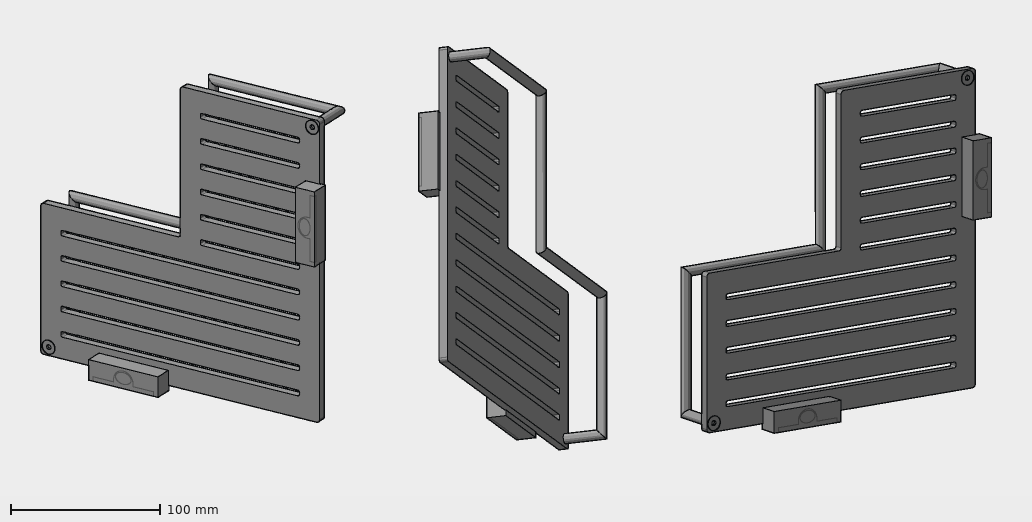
import cadquery as cq

overall_size = 224.5
plate_size = 220.5
plate_thickness = 6.0
leg_width = plate_size / 2
outer_corner_radius = 2.5
inner_corner_radius = 1.8

slot_rows = 11
slot_height = 4.0
slot_margin = 16.0
slot_pitch = (plate_size - 2 * slot_margin - slot_height) / (slot_rows - 1)
slot_corner_radius = 1.3

rail_diameter = 7.0
rail_inset = 6.0
rail_back = 36.0
rail_axis_y = rail_back - rail_diameter / 2

head_diameter = 10.0
head_recess = 0.5
socket_diameter = 3.4
socket_depth = 2.2

block_length = 54.8
block_width = 15.0
block_front = -13.0
block_overlap = 1.0
block_overhang = overall_size - plate_size
block_center = plate_size / 3

insert_depth = 2.2
strip_length = 48.0
strip_width = 3.4
bump_radius = 7.6
bump_center_height = 5.5
oval_length = 12.4
oval_height = 8.5
oval_center_height = strip_width + oval_height / 2


def front_plane(y):
    """Plane at the given y whose normal points to -Y, with X right and Z up."""
    return cq.Workplane("XZ", origin=(0, y, 0))


def make_plate():
    plate = (
        front_plane(0)
        .polyline([
            (0, 0),
            (plate_size, 0),
            (plate_size, plate_size),
            (leg_width, plate_size),
            (leg_width, leg_width),
            (0, leg_width),
        ])
        .close()
        .extrude(-plate_thickness)
    )
    inner_corner = cq.selectors.NearestToPointSelector((leg_width, plate_thickness / 2, leg_width))
    plate = plate.edges(inner_corner).fillet(inner_corner_radius)
    outer_corners = [
        (0, 0),
        (plate_size, 0),
        (plate_size, plate_size),
        (leg_width, plate_size),
        (0, leg_width),
    ]
    for x, z in outer_corners:
        corner = cq.selectors.NearestToPointSelector((x, plate_thickness / 2, z))
        plate = plate.edges(corner).fillet(outer_corner_radius)
    return plate


def cut_slots(plate):
    first_row_z = slot_margin + slot_height / 2
    right_end = plate_size - slot_margin
    for row in range(slot_rows):
        z = first_row_z + row * slot_pitch
        left_edge = 0 if z < leg_width - slot_height else leg_width
        left_end = left_edge + slot_margin
        slot = (
            front_plane(0)
            .center((left_end + right_end) / 2, z)
            .rect(right_end - left_end, slot_height)
            .extrude(-plate_thickness)
            .edges("|Y")
            .fillet(slot_corner_radius)
        )
        plate = plate.cut(slot)
    return plate


def make_rail():
    """Mitred round bar that follows the stepped side of the plate and ends in two posts."""
    near = rail_inset
    step_x = leg_width + rail_inset
    step_z = leg_width - rail_inset
    far = plate_size - rail_inset
    post_root = plate_thickness / 2
    path = cq.Workplane("XY").polyline([
        (near, post_root, near),
        (near, rail_axis_y, near),
        (near, rail_axis_y, step_z),
        (step_x, rail_axis_y, step_z),
        (step_x, rail_axis_y, far),
        (far, rail_axis_y, far),
        (far, post_root, far),
    ])
    return (
        front_plane(post_root)
        .center(near, near)
        .circle(rail_diameter / 2)
        .sweep(path, transition="right")
    )


def make_screw_recess(position):
    """Shallow head recess with a deeper socket, sunk into the front of the plate."""
    head = front_plane(0).center(position, position).circle(head_diameter / 2).extrude(-head_recess)
    socket = front_plane(0).center(position, position).circle(socket_diameter / 2).extrude(-socket_depth)
    return head.union(socket)


def make_bottom_block():
    """Block hanging over the bottom edge, with its insert reaching the lower side."""
    bottom = -block_overhang
    block = (
        front_plane(block_overlap)
        .center(block_center, bottom + block_width / 2)
        .rect(block_length, block_width)
        .extrude(block_overlap - block_front)
    )
    face = front_plane(block_front).center(block_center, bottom)
    strip = face.center(0, strip_width / 2).rect(strip_length, strip_width).extrude(-insert_depth)
    bump = (
        face
        .moveTo(-bump_radius, 0)
        .lineTo(-bump_radius, bump_center_height)
        .threePointArc((0, bump_center_height + bump_radius), (bump_radius, bump_center_height))
        .lineTo(bump_radius, 0)
        .close()
        .extrude(-insert_depth)
    )
    oval = (
        face
        .center(0, oval_center_height)
        .ellipse(oval_length / 2, oval_height / 2)
        .extrude(-insert_depth)
    )
    insert = strip.union(bump)
    return block.union(insert, clean=False).union(oval, clean=False)


plate = cut_slots(make_plate())
bottom_block = make_bottom_block()
right_block = bottom_block.mirror(cq.Vector(1, 0, 1), (plate_size / 2, 0, plate_size / 2))

result = plate.union(make_rail())
for block in (bottom_block, right_block):
    result = result.union(block, clean=False)
for position in (rail_inset, plate_size - rail_inset):
    result = result.cut(make_screw_recess(position), clean=False)